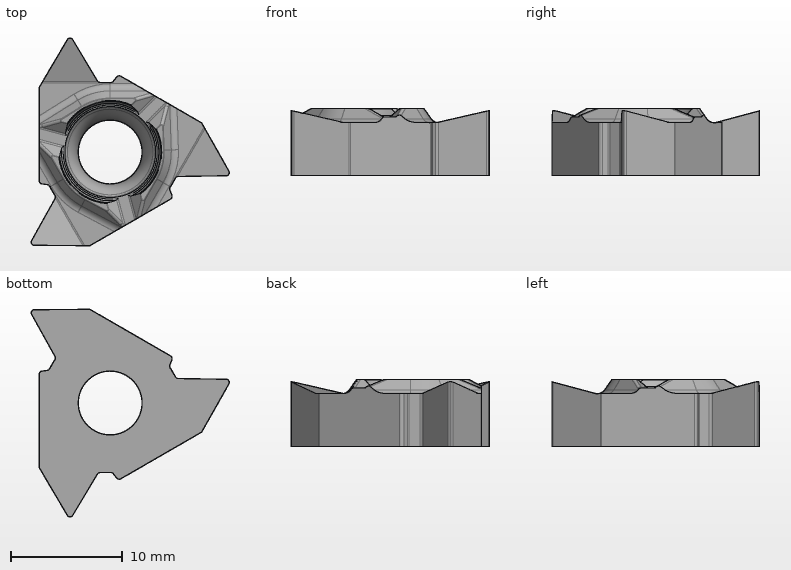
import cadquery as cq
import math

LOBE_COUNT = 3
LOBE_ANGLE = 360 / LOBE_COUNT

REACH = 15

SEAT_Z = 4.77
BOSS_TOP_Z = 6.05
GROOVE_FLOOR_Z = 5.25

SIDE_X = -6.37
SHOULDER_Y = 5.795
TIP_Y = 10.21
NOTCH_Y = 6.25
NOTCH_START_X = -1.06
NOTCH_END_X = 0.2
LEFT_FLANK_ANGLE = 59.5
RIGHT_FLANK_ANGLE = 59.1
NOSE_FLANK_ANGLE = 52
TIP_RADIUS = 0.24
NOSE_RADIUS = 0.3
SHOULDER_RADIUS = 0.2
NOTCH_START_RADIUS = 0.3
NOTCH_END_RADIUS = 0.2

CORNER_RADII = [
    SHOULDER_RADIUS,
    TIP_RADIUS,
    TIP_RADIUS,
    NOTCH_START_RADIUS,
    NOTCH_END_RADIUS,
    NOSE_RADIUS,
]

RAKE_START_Y = 6.25
RAKE_ANGLE = 15
RAKE_ROOT_RADIUS = 0.5

BOSS_TOP_RADIUS = 4.82
BOSS_WALL_ANGLE = 35
BOSS_ROOT_RADIUS = 0.78
BOSS_RIM_RADIUS = 0.08
BOSS_CORNER_RADIUS = 0.25
BOSS_ARC_START = 90
BOSS_ARC_SWEEP = 32

GROOVE_AXIS_ANGLE = 45
GROOVE_OFFSET = 0.08
GROOVE_FLOOR_WIDTH = 1.12
GROOVE_TOP_WIDTH = 3.1
GROOVE_ROOT_RADIUS = 0.26

HOLE_RADIUS = 5.7 / 2
FUNNEL_RADIUS = 4.4
FUNNEL_TOP_RADIUS = 3.84
FUNNEL_TOP_Z = 5.05
FUNNEL_LIP_RADIUS = 4.0
FUNNEL_LIP_Z = 5.2
FUNNEL_LIP_ROUND = 0.8
LEDGE_INNER_RADIUS = 4.08
LEDGE_OUTER_RADIUS = 4.22
RECESS_TOP_RADIUS = 4.57
RECESS_FOOT_RADIUS = 4.37
RECESS_FOOT_Z = 5.42
RECESS_ROOT_RADIUS = 0.2


def tan(degrees):
    """Tangent of an angle in degrees."""
    return math.tan(math.radians(degrees))


def rotate_point(point, degrees):
    """Point turned about the Z axis."""
    c = math.cos(math.radians(degrees))
    s = math.sin(math.radians(degrees))
    return (point[0] * c - point[1] * s, point[0] * s + point[1] * c)


def around(shape):
    """Union of the shape repeated once per lobe."""
    total = shape
    for index in range(1, LOBE_COUNT):
        total = total.union(shape.rotate((0, 0, 0), (0, 0, 1), index * LOBE_ANGLE))
    return total


def lobe_points():
    """Corners of one lobe, clockwise from the shoulder to the nose."""
    left_tip_x = SIDE_X + (TIP_Y - SHOULDER_Y) / tan(LEFT_FLANK_ANGLE)
    right_tip_x = NOTCH_START_X - (TIP_Y - NOTCH_Y) / tan(RIGHT_FLANK_ANGLE)
    next_side_angle = 180 - LOBE_ANGLE
    side_slope = -1 / tan(next_side_angle)
    side_at_axis = -SIDE_X / math.sin(math.radians(next_side_angle))
    nose_slope = tan(NOSE_FLANK_ANGLE)
    nose_x = (side_at_axis - NOTCH_Y + nose_slope * NOTCH_END_X) / (nose_slope - side_slope)
    nose_y = side_at_axis + side_slope * nose_x
    return [
        (SIDE_X, SHOULDER_Y),
        (left_tip_x, TIP_Y),
        (right_tip_x, TIP_Y),
        (NOTCH_START_X, NOTCH_Y),
        (NOTCH_END_X, NOTCH_Y),
        (nose_x, nose_y),
    ]


def outline_prism(height):
    """Vertical prism of the whole three-lobed outline with rounded corners."""
    corners = lobe_points()
    points = []
    for index in range(LOBE_COUNT):
        points += [rotate_point(p, -index * LOBE_ANGLE) for p in corners]
    prism = cq.Workplane("XY").polyline(points).close().extrude(height)
    for number, radius in enumerate(CORNER_RADII):
        for index in range(LOBE_COUNT):
            x, y = rotate_point(corners[number], -index * LOBE_ANGLE)
            edge = cq.selectors.NearestToPointSelector((x, y, height / 2))
            prism = prism.edges(edge).fillet(radius)
    return prism


def tooth_envelope():
    """Prism under the seat and the rising rake face of one tooth."""
    tangent = RAKE_ROOT_RADIUS * tan(RAKE_ANGLE / 2)
    rake = math.radians(RAKE_ANGLE)
    arc_end = (RAKE_START_Y + tangent * math.cos(rake), SEAT_Z + tangent * math.sin(rake))
    rise_length = REACH - RAKE_START_Y
    return (
        cq.Workplane("YZ")
        .moveTo(0, 0)
        .lineTo(REACH, 0)
        .lineTo(REACH, SEAT_Z + rise_length * tan(RAKE_ANGLE))
        .lineTo(*arc_end)
        .radiusArc((RAKE_START_Y - tangent, SEAT_Z), RAKE_ROOT_RADIUS)
        .lineTo(0, SEAT_Z)
        .close()
        .extrude(-REACH)
    )


def boss_side_profile(plane):
    """Region outside the sloping boss wall: first axis is radial, second is height."""
    wall_foot = BOSS_TOP_RADIUS + (BOSS_TOP_Z - SEAT_Z) * tan(BOSS_WALL_ANGLE)
    tangent = BOSS_ROOT_RADIUS * tan((90 - BOSS_WALL_ANGLE) / 2)
    wall = math.radians(BOSS_WALL_ANGLE)
    arc_top = (wall_foot - tangent * math.sin(wall), SEAT_Z + tangent * math.cos(wall))
    arc_bottom = (wall_foot + tangent, SEAT_Z)
    return (
        cq.Workplane(plane)
        .moveTo(BOSS_TOP_RADIUS, BOSS_TOP_Z)
        .lineTo(*arc_top)
        .radiusArc(arc_bottom, -BOSS_ROOT_RADIUS)
        .lineTo(REACH, SEAT_Z)
        .lineTo(REACH, BOSS_TOP_Z)
        .close()
    )


def boss_surroundings():
    """Space beside one rounded corner of the boss: an arc with a straight run at each end."""
    turned = boss_side_profile("XZ").revolve(BOSS_ARC_SWEEP, (0, 0, 0), (0, 1, 0))
    first = boss_side_profile("XZ").extrude(REACH)
    last = boss_side_profile("XZ").extrude(-REACH).rotate((0, 0, 0), (0, 0, 1), BOSS_ARC_SWEEP)
    return turned.union(first).union(last).rotate((0, 0, 0), (0, 0, 1), BOSS_ARC_START)


def groove():
    """Flared radial groove running outward from the hole."""
    half_floor = GROOVE_FLOOR_WIDTH / 2
    half_top = GROOVE_TOP_WIDTH / 2
    cutter = (
        cq.Workplane("YZ")
        .polyline([
            (GROOVE_OFFSET - half_floor, GROOVE_FLOOR_Z),
            (GROOVE_OFFSET + half_floor, GROOVE_FLOOR_Z),
            (GROOVE_OFFSET + half_top, BOSS_TOP_Z),
            (GROOVE_OFFSET - half_top, BOSS_TOP_Z),
        ])
        .close()
        .extrude(REACH)
        .edges("|X and <Z")
        .fillet(GROOVE_ROOT_RADIUS)
    )
    return cutter.rotate((0, 0, 0), (0, 0, 1), GROOVE_AXIS_ANGLE)


def corner_edge_point(side, wall_normal_angle):
    """Point on the edge where a groove flank (side +1 or -1) meets the boss wall."""
    depth = (BOSS_TOP_Z - GROOVE_FLOOR_Z) / 3
    flare = (GROOVE_TOP_WIDTH - GROOVE_FLOOR_WIDTH) / 2 / (BOSS_TOP_Z - GROOVE_FLOOR_Z)
    across = GROOVE_OFFSET + side * (GROOVE_TOP_WIDTH / 2 - depth * flare)
    wall_distance = BOSS_TOP_RADIUS + depth * tan(BOSS_WALL_ANGLE)
    turn = math.radians(wall_normal_angle - GROOVE_AXIS_ANGLE)
    along = (wall_distance - across * math.sin(turn)) / math.cos(turn)
    x, y = rotate_point((along, across), GROOVE_AXIS_ANGLE)
    return (x, y, BOSS_TOP_Z - depth)


def round_boss_corners(boss):
    """Round the edges between the groove flanks and the boss wall."""
    last_wall_angle = BOSS_ARC_START + BOSS_ARC_SWEEP - LOBE_ANGLE
    for side, wall_angle in [(1, BOSS_ARC_START), (-1, last_wall_angle)]:
        x, y, z = corner_edge_point(side, wall_angle)
        for index in range(LOBE_COUNT):
            turned_x, turned_y = rotate_point((x, y), index * LOBE_ANGLE)
            edge = cq.selectors.NearestToPointSelector((turned_x, turned_y, z))
            boss = boss.edges(edge).fillet(BOSS_CORNER_RADIUS)
    return boss


def screw_hole():
    """Through hole with a rounded funnel, a narrow ledge and a conical recess."""
    turn = math.acos(1 - (FUNNEL_TOP_RADIUS - HOLE_RADIUS) / FUNNEL_RADIUS)
    funnel_bottom_z = FUNNEL_TOP_Z - FUNNEL_RADIUS * math.sin(turn)
    return (
        cq.Workplane("XZ")
        .lineTo(HOLE_RADIUS, 0)
        .lineTo(HOLE_RADIUS, funnel_bottom_z)
        .radiusArc((FUNNEL_TOP_RADIUS, FUNNEL_TOP_Z), FUNNEL_RADIUS)
        .radiusArc((FUNNEL_LIP_RADIUS, FUNNEL_LIP_Z), FUNNEL_LIP_ROUND)
        .lineTo(LEDGE_INNER_RADIUS, GROOVE_FLOOR_Z)
        .lineTo(LEDGE_OUTER_RADIUS, GROOVE_FLOOR_Z)
        .radiusArc((RECESS_FOOT_RADIUS, RECESS_FOOT_Z), -RECESS_ROOT_RADIUS)
        .lineTo(RECESS_TOP_RADIUS, BOSS_TOP_Z)
        .lineTo(0, BOSS_TOP_Z)
        .close()
        .revolve()
    )


blank = outline_prism(BOSS_TOP_Z)
boss = blank.cut(around(boss_surroundings())).cut(around(groove()))
boss = round_boss_corners(boss).cut(screw_hole())
boss = boss.faces(">Z").edges().fillet(BOSS_RIM_RADIUS)
teeth = blank.intersect(around(tooth_envelope())).cut(screw_hole())
result = boss.union(teeth)